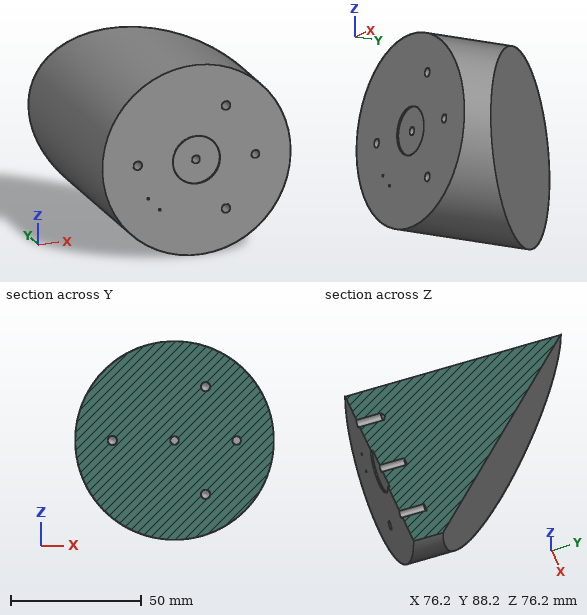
import math

import cadquery as cq

body_diameter = 76.2
body_radius = body_diameter / 2
long_side_length = 88.2
face_angle = 45.0
short_side_length = long_side_length - body_diameter * math.tan(math.radians(face_angle))

recess_diameter = 19.05
recess_depth = 0.7
mounting_circle_radius = 23.8
hole_depth = 10.0
screw_hole_diameter = 3.45
screw_hole_angles = (60.0, 180.0, 300.0)
drill_point_angle = 118.0
pin_hole_diameter = 3.2
pin_hole_angle = 0.0
mark_diameter = 0.7
mark_depth = 0.5
mark_angles = (215.0, 231.5)

INWARD = cq.Vector(0, 1, 0)


def on_mounting_circle(angle):
    """Point of the back face on the mounting circle, measured from +X towards +Z."""
    angle_rad = math.radians(angle)
    return cq.Vector(
        mounting_circle_radius * math.cos(angle_rad),
        0,
        mounting_circle_radius * math.sin(angle_rad),
    )


def make_body():
    """Round bar trimmed by the slanted front face."""
    bar = cq.Workplane(cq.Solid.makeCylinder(body_radius, long_side_length, cq.Vector(), INWARD))
    side_profile = [
        (-body_radius, 0),
        (body_radius, 0),
        (body_radius, short_side_length),
        (-body_radius, long_side_length),
    ]
    wedge = cq.Workplane("XY").polyline(side_profile).close().extrude(body_radius, both=True)
    return bar.intersect(wedge)


def flat_hole(diameter, depth, start):
    """Cutter for a flat-bottomed round hole."""
    return cq.Solid.makeCylinder(diameter / 2, depth, start, INWARD)


def drilled_hole(diameter, depth, start):
    """Cutter for a round hole ending in a conical drill point."""
    radius = diameter / 2
    point_length = radius / math.tan(math.radians(drill_point_angle / 2))
    point = cq.Solid.makeCone(radius, 0, point_length, start + INWARD * depth, INWARD)
    return flat_hole(diameter, depth, start).fuse(point)


def cut_center_recess(body):
    """Shallow round recess with a pin hole in its floor."""
    recess = flat_hole(recess_diameter, recess_depth, cq.Vector())
    pin_hole = flat_hole(pin_hole_diameter, hole_depth, INWARD * recess_depth)
    return body.cut(recess).cut(pin_hole)


def cut_mounting_holes(body):
    """Three screw holes and one pin hole on the mounting circle."""
    for angle in screw_hole_angles:
        body = body.cut(drilled_hole(screw_hole_diameter, hole_depth, on_mounting_circle(angle)))
    return body.cut(flat_hole(pin_hole_diameter, hole_depth, on_mounting_circle(pin_hole_angle)))


def cut_marks(body):
    """Two tiny dimples on the mounting circle."""
    for angle in mark_angles:
        body = body.cut(flat_hole(mark_diameter, mark_depth, on_mounting_circle(angle)))
    return body


result = cut_marks(cut_mounting_holes(cut_center_recess(make_body())))